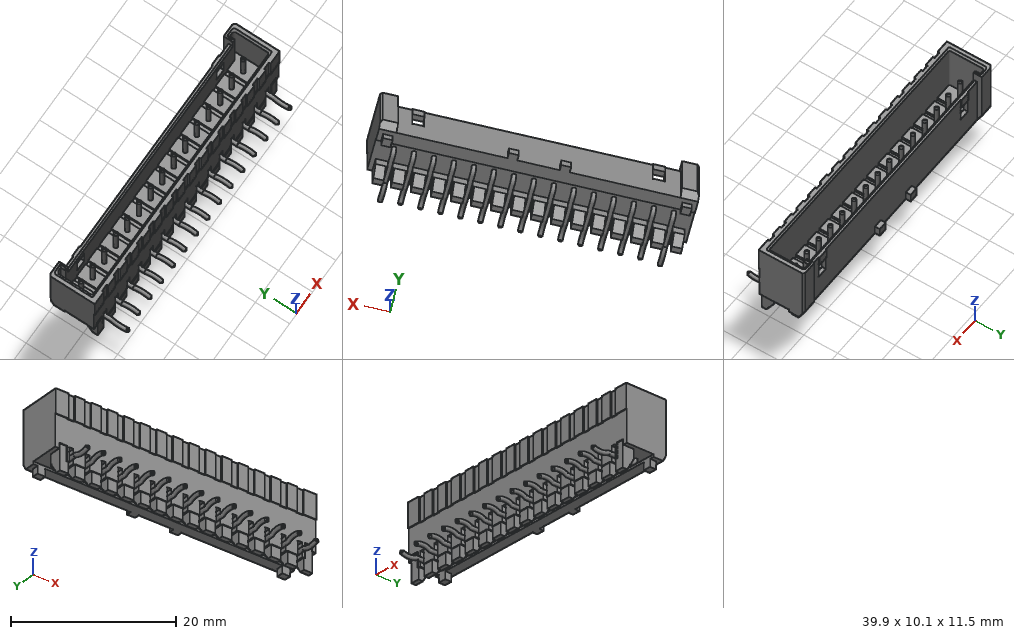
import cadquery as cq
import math


pin_count = 15
pin_row_length = 35.0
pitch = pin_row_length / (pin_count - 1)
pin_positions = [-pin_row_length / 2 + i * pitch for i in range(pin_count)]
gap_positions = [x + pitch / 2 for x in pin_positions[:-1]]

length = 39.9
half_length = length / 2
height = 11.5
depth = 6.7
front_recess = 0.1
band_bottom = 7.9
front_underside = 3.2
rear_underside = 2.85
underside_step_y = 4.43
back_wall_y = 6.0
back_wall_top = 10.15
end_block_length = 2.2
corner_chamfer = 0.28
end_slope_top = 4.1

cavity_floor = 4.8
end_wall = 0.88
front_wall = 0.95
cavity_back_y = 5.4
pocket_back_y = 6.15
pocket_width = 0.85
lead_in_height = 0.2
end_lead_in = 0.3
lead_in = 0.25
front_corner_radius = 0.2
pocket_corner_radius = 0.35
floor_groove_width = 0.6
floor_groove_depth = 0.4

band_groove_width = 1.0
band_groove_depth = 0.25
slot_width = 0.65
slot_top = 3.9
leg_depth = 1.8
leg_foot_depth = 0.7
leg_shoulder = 1.75
leg_inset = 0.2
end_leg_margin = 0.65
end_leg_face_width = 1.08

window_width = 1.5
window_center = 15.05
window_top = 8.7
window_bottom = 6.4
pad_thickness = 0.1
hook_width = 1.25
hook_center = 3.27
post_width = 1.2
post_depth = 1.0
post_bottom = 1.7

pin_diameter = 0.6
pin_radius = pin_diameter / 2
pin_y = 3.67
pin_top = 8.95
pin_axis_z = 2.5
pin_bend_radius = 0.8
bow_start_y = -0.7
bow_rise = 0.3
end_bow_length = 2.6
inner_bow_length = 2.47
tail_chamfer = 0.15
tip_chamfer = 0.2


def block(x_min, x_max, y_min, y_max, z_min, z_max):
    """Axis-aligned box between the given limits."""
    size = (x_max - x_min, y_max - y_min, z_max - z_min)
    return cq.Workplane("XY").box(*size, centered=False).translate((x_min, y_min, z_min))


def block_row(x_centers, width, y_min, y_max, z_min, z_max):
    """Equal boxes of a given width, one centred on each X position."""
    row = cq.Workplane("XY", origin=(0, (y_min + y_max) / 2, z_min)).pushPoints([(x, 0) for x in x_centers])
    return row.rect(width, y_max - y_min).extrude(z_max - z_min)


def extrude_along_x(points, x_min, x_max):
    """Extrude a closed (Y, Z) outline from x_min to x_max."""
    return cq.Workplane("YZ", origin=(x_min, 0, 0)).polyline(points).close().extrude(x_max - x_min)


def housing_shell():
    """Solid housing: stepped underside, low back wall between two deeper end blocks."""
    profile = [
        (front_recess, front_underside),
        (underside_step_y, front_underside),
        (underside_step_y, rear_underside),
        (back_wall_y, rear_underside),
        (depth, end_slope_top),
        (depth, height),
        (0, height),
        (0, band_bottom),
        (front_recess, band_bottom),
    ]
    shell = extrude_along_x(profile, -half_length, half_length)
    shell = shell.edges("|Z and >Y").chamfer(corner_chamfer)
    middle = length - 2 * end_block_length
    shell = shell.cut(block_row([0], middle, back_wall_y, depth, 0, height))
    return shell.cut(block_row([0], middle, cavity_back_y, depth, back_wall_top, height))


def cavity_sketch(end_growth, growth):
    """Cavity outline with a pocket into each end block, enlarged by the given amounts."""
    x_end = half_length - end_wall + end_growth
    x_pocket = half_length - end_wall - pocket_width - growth
    y_front = front_wall - growth
    y_back = cavity_back_y + growth
    y_pocket = pocket_back_y + growth
    right = [(x_end, y_front), (x_end, y_pocket), (x_pocket, y_pocket), (x_pocket, y_back)]
    left = [(-x, y) for x, y in reversed(right)]
    outline = right + left
    sketch = cq.Sketch().polygon(outline + outline[:1])
    sketch = sketch.vertices("<Y").fillet(front_corner_radius).reset()
    return sketch.vertices(">Y and (<X or >X)").fillet(pocket_corner_radius)


def cavity():
    """Open-topped cavity with a sloped lead-in at the rim and grooves across its floor."""
    straight = cq.Workplane("XY", origin=(0, 0, cavity_floor)).placeSketch(cavity_sketch(0, 0))
    void = straight.extrude(height - cavity_floor)
    rim_start = height - lead_in_height
    rim = cq.Workplane("XY", origin=(0, 0, rim_start)).placeSketch(
        cavity_sketch(0, 0),
        cavity_sketch(end_lead_in, lead_in).moved(cq.Location(cq.Vector(0, 0, lead_in_height))),
    )
    void = void.union(rim.loft())
    back_lead_in = [
        (cavity_back_y, back_wall_top - lead_in_height),
        (cavity_back_y + lead_in, back_wall_top),
        (cavity_back_y, back_wall_top),
    ]
    lead_in_end = half_length - end_block_length
    void = void.union(extrude_along_x(back_lead_in, -lead_in_end, lead_in_end))
    groove_bottom = cavity_floor - floor_groove_depth
    grooves = block_row(
        gap_positions, floor_groove_width, front_wall, cavity_back_y, groove_bottom, cavity_floor
    )
    return void.union(grooves)


def leg(x_min, x_max, foot_x_min, foot_x_max):
    """Leg with a wide upper tab and a narrower foot that slopes away at the back."""
    tab = block(x_min, x_max, front_recess, leg_depth, leg_shoulder, front_underside)
    foot_profile = [(0, 0), (leg_foot_depth, 0), (leg_depth, leg_shoulder), (0, leg_shoulder)]
    return tab.union(extrude_along_x(foot_profile, foot_x_min, foot_x_max))


def legs():
    """One leg in every gap between pins and a mirrored pair outside the end pins."""
    half_tab = (pitch - slot_width) / 2
    half_foot = half_tab - leg_inset
    row = cq.Workplane("XY")
    for x in gap_positions:
        row = row.union(leg(x - half_tab, x + half_tab, x - half_foot, x + half_foot))

    outer_x = -half_length + end_leg_margin
    tab_end = pin_positions[0] - slot_width / 2
    end_leg = leg(outer_x, tab_end, outer_x, tab_end - leg_inset)
    raised_face = block(outer_x, outer_x + end_leg_face_width, 0, leg_depth, leg_shoulder, slot_top)
    end_leg = end_leg.union(raised_face)
    return row.union(end_leg).union(end_leg.mirror("YZ"))


def back_features():
    """Pads above the windows, hooks under the back wall and locating posts near the ends."""
    post_center = half_length - end_leg_margin - post_width / 2
    pads = block_row(
        (-window_center, window_center), window_width,
        cavity_back_y + lead_in, back_wall_y + pad_thickness, window_top, back_wall_top,
    )
    hooks = block_row(
        (-hook_center, hook_center), hook_width, cavity_back_y, depth, rear_underside, end_slope_top
    )
    posts = block_row(
        (-post_center, post_center), post_width,
        underside_step_y, underside_step_y + post_depth, post_bottom, front_underside,
    )
    return pads.union(hooks).union(posts)


def housing():
    """Housing with its legs, cavity, windows and the cuts in its front face."""
    body = housing_shell().union(legs()).cut(cavity()).union(back_features())
    windows = block_row(
        (-window_center, window_center), window_width, cavity_back_y, depth, window_bottom, window_top
    )
    band_grooves = block_row(
        pin_positions, band_groove_width, 0, band_groove_depth, band_bottom, height
    )
    pin_slots = block_row(pin_positions, slot_width, 0, leg_depth, 0, slot_top)
    return body.cut(windows).cut(band_grooves).cut(pin_slots)


def pin(bow_length, bow_direction):
    """Round pin at X = 0: upright tip, right-angle bend and a tail bowing up (+1) or down (-1)."""
    bend_diagonal = pin_bend_radius * (1 - math.sqrt(0.5))
    straight_path = (
        cq.Workplane("YZ")
        .moveTo(pin_y, pin_top)
        .lineTo(pin_y, pin_axis_z + pin_bend_radius)
        .threePointArc(
            (pin_y - bend_diagonal, pin_axis_z + bend_diagonal),
            (pin_y - pin_bend_radius, pin_axis_z),
        )
        .lineTo(bow_start_y, pin_axis_z)
    )
    upright = cq.Workplane("XY", origin=(0, pin_y, pin_top)).circle(pin_radius).sweep(straight_path)
    upright = upright.faces(">Z").chamfer(tip_chamfer)

    start_angle = 2 * math.atan(2 * bow_rise / bow_length)
    bow_plane = cq.Plane(
        origin=(0, bow_start_y, pin_axis_z),
        xDir=(1, 0, 0),
        normal=(0, -math.cos(start_angle), bow_direction * math.sin(start_angle)),
    )
    bow_path = (
        cq.Workplane("YZ")
        .moveTo(bow_start_y, pin_axis_z)
        .threePointArc(
            (bow_start_y - bow_length / 2, pin_axis_z + bow_direction * bow_rise),
            (bow_start_y - bow_length, pin_axis_z),
        )
    )
    bow = cq.Workplane(bow_plane).circle(pin_radius).sweep(bow_path)
    bow = bow.faces("<Y").chamfer(tail_chamfer)
    knee = cq.Workplane("XY", origin=(0, bow_start_y, pin_axis_z)).sphere(pin_radius)
    return upright.union(knee).union(bow)


def pin_row(x_centers, shape):
    """Copies of one pin, one at each X position."""
    return cq.Workplane("XY").pushPoints([(x, 0) for x in x_centers]).eachpoint(shape.solids().val())


end_pins = pin_row((pin_positions[0], pin_positions[-1]), pin(end_bow_length, -1))
inner_pins = pin_row(pin_positions[1:-1], pin(inner_bow_length, 1))
result = housing().union(end_pins).union(inner_pins)